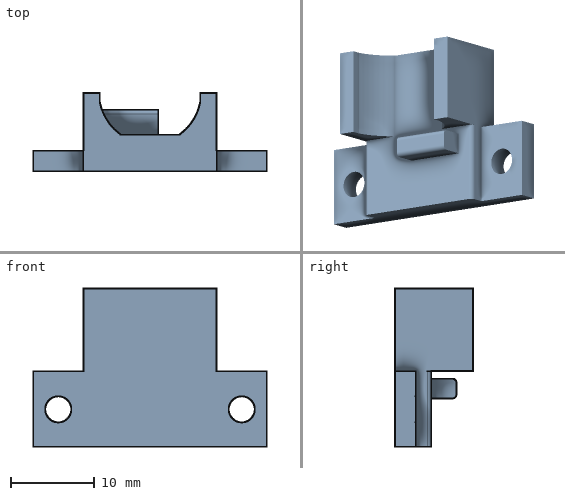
import cadquery as cq

plate_width = 28.0
plate_thickness = 2.5
plate_height = 9.1

block_width = 16.0
block_depth = 9.4
total_height = 19.0

web_depth = 4.4
web_edge_radius = 0.5

channel_radius = 6.1
channel_width = 12.0

hole_diameter = 3.1
hole_spacing = 22.0
hole_height = 4.5

peg_left = -6.0
peg_right = 1.0
peg_tip_y = 7.4
peg_height = 2.4
peg_centre_z = 7.0
peg_edge_radius = 0.5


def box(x_min, x_max, y_max, z_min, z_max):
    """Box standing on the mounting face (Y = 0), between the given limits."""
    size = (x_max - x_min, y_max, z_max - z_min)
    return cq.Workplane("XY").box(*size, centered=False).translate((x_min, 0, z_min))


def make_plate():
    plate = box(-plate_width / 2, plate_width / 2, plate_thickness, 0, plate_height)
    holes = (
        cq.Workplane("XZ")
        .pushPoints([(side * hole_spacing / 2, hole_height) for side in (-1, 1)])
        .circle(hole_diameter / 2)
        .extrude(-plate_thickness)
    )
    return plate.cut(holes)


def make_web():
    web = box(-block_width / 2, block_width / 2, web_depth, 0, plate_height)
    return web.edges("|Z and >Y").fillet(web_edge_radius)


def make_block():
    block = box(-block_width / 2, block_width / 2, block_depth, plate_height, total_height)
    round_channel = (
        cq.Workplane("XY", origin=(0, block_depth, plate_height))
        .circle(channel_radius)
        .extrude(total_height - plate_height)
    )
    channel_limits = box(
        -channel_width / 2, channel_width / 2, block_depth - web_depth, plate_height, total_height
    ).translate((0, web_depth, 0))
    return block.cut(round_channel.intersect(channel_limits))


def make_peg():
    half_height = peg_height / 2
    peg = box(peg_left, peg_right, peg_tip_y, peg_centre_z - half_height, peg_centre_z + half_height)
    return peg.edges("|X and >Y").fillet(peg_edge_radius)


result = make_plate().union(make_web()).union(make_block()).union(make_peg())